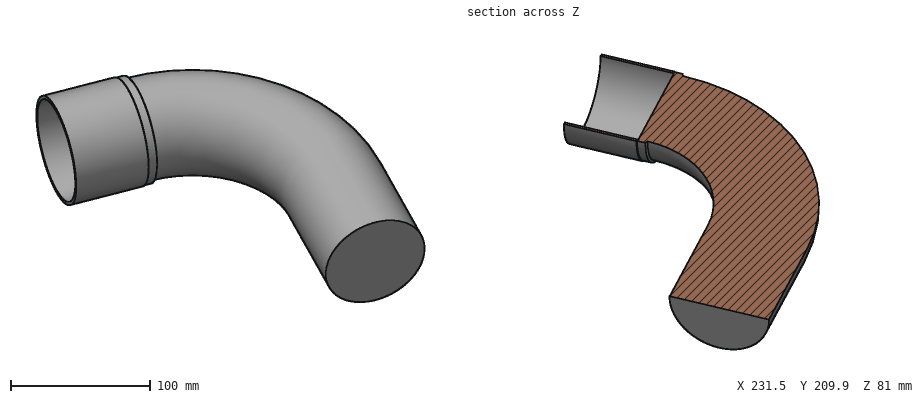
import cadquery as cq

pipe_diameter = 76.0
collar_diameter = 80.0
socket_diameter = 81.0
bend_radius = 109.0
overall_x = 231.5
overall_y = 209.9
collar_length = 7.2
collar_taper_length = 1.0

pipe_radius = pipe_diameter / 2
collar_radius = collar_diameter / 2
socket_radius = socket_diameter / 2
spigot_length = overall_x - socket_radius - bend_radius
socket_mouth_y = bend_radius + pipe_radius - overall_y
socket_depth = -collar_length - socket_mouth_y

socket_taper_length = socket_radius - collar_radius

bend = (
    cq.Workplane("XZ")
    .circle(pipe_radius)
    .revolve(90, (bend_radius, 0, 0), (bend_radius, -1, 0))
)

spigot = (
    cq.Workplane("YZ", origin=(bend_radius, bend_radius, 0))
    .circle(pipe_radius)
    .extrude(spigot_length)
)

socket = (
    cq.Workplane("XY")
    .moveTo(0, 0)
    .lineTo(pipe_radius, 0)
    .lineTo(collar_radius, -collar_taper_length)
    .lineTo(collar_radius, -collar_length)
    .lineTo(socket_radius, -collar_length - socket_taper_length)
    .lineTo(socket_radius, socket_mouth_y)
    .lineTo(0, socket_mouth_y)
    .close()
    .revolve(360, (0, 0, 0), (0, 1, 0))
)

socket_bore = (
    cq.Workplane("XZ", origin=(0, -collar_length, 0))
    .circle(pipe_radius)
    .extrude(socket_depth)
)

result = bend.union(spigot).union(socket).cut(socket_bore)